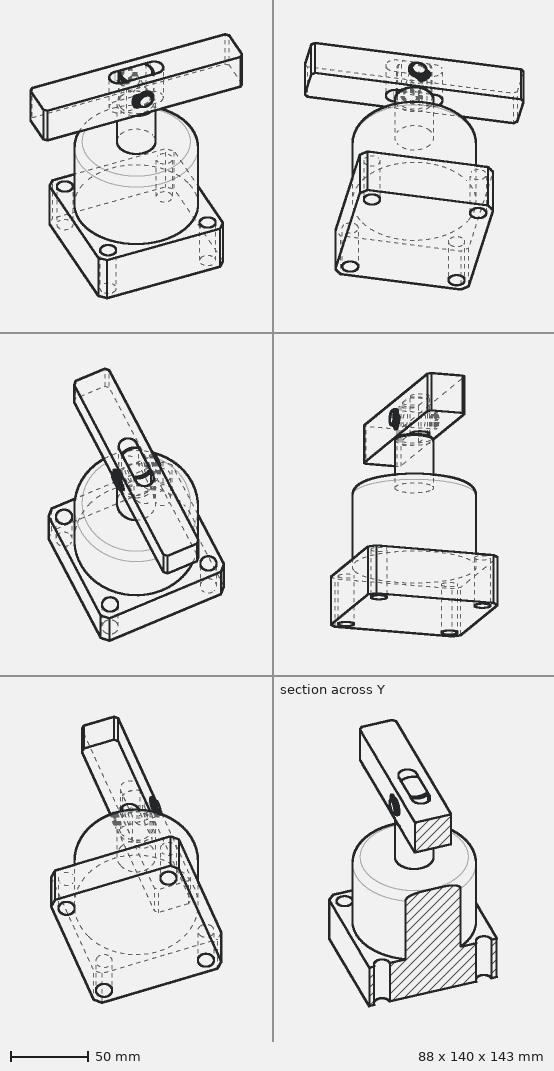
import cadquery as cq

flange_side = 88.0
flange_height = 32.0
flange_chamfer = 4.3
body_diameter = 80.0
body_top = 85.0
body_fillet = 5.0
bolt_hole_diameter = 10.5
bolt_hole_pitch = 70.0

lever_width = 25.0
lever_length = 140.0
lever_top = 143.0
lever_bottom = lever_top - lever_width
lever_chamfer = 2.1
slot_width = 12.0
slot_length = 37.0

rod_diameter = 25.0
rod_chamfer = 1.1
tongue_diameter = rod_diameter - 2 * rod_chamfer
tongue_chamfer = 1.0
tongue_top = lever_top

pin_diameter = 10.0
pin_length = 30.6
pin_chamfer = 0.5
pin_height = lever_bottom + lever_width / 2

ring_thickness = 1.0
ring_inner_diameter = 9.5
ring_outer_radius = 5.6
ring_eccentricity = 0.7
ring_gap = 1.6
ears_width = 9.2
ears_tip_radius = 8.0
ear_hole_reach = 5.5
ear_hole_spacing = 5.7
ear_hole_diameter = 1.5
near_gap_angle = 225
far_gap_angle = 180


def cross_cylinder(diameter, length):
    """Cylinder along X through the pivot, centred on the lever."""
    return (
        cq.Workplane("YZ", origin=(0, 0, pin_height))
        .circle(diameter / 2)
        .extrude(length / 2, both=True)
    )


def make_housing():
    flange = (
        cq.Workplane("XY")
        .rect(flange_side, flange_side)
        .extrude(flange_height)
        .edges("|Z")
        .chamfer(flange_chamfer)
    )
    body = (
        cq.Workplane("XY")
        .circle(body_diameter / 2)
        .extrude(body_top)
        .faces(">Z")
        .edges()
        .fillet(body_fillet)
    )
    bolt_holes = (
        cq.Workplane("XY")
        .rect(bolt_hole_pitch, bolt_hole_pitch, forConstruction=True)
        .vertices()
        .circle(bolt_hole_diameter / 2)
        .extrude(flange_height)
    )
    return flange.union(body).cut(bolt_holes)


def make_rod():
    shaft = (
        cq.Workplane("XY", origin=(0, 0, body_top))
        .circle(rod_diameter / 2)
        .extrude(lever_bottom - body_top)
        .faces(">Z")
        .edges()
        .chamfer(rod_chamfer)
    )
    tongue_height = tongue_top - lever_bottom
    slot_fit = (
        cq.Workplane("XY", origin=(0, 0, lever_bottom))
        .rect(slot_width, slot_length)
        .extrude(tongue_height)
    )
    tongue = (
        cq.Workplane("XY", origin=(0, 0, lever_bottom))
        .circle(tongue_diameter / 2)
        .extrude(tongue_height)
        .faces(">Z")
        .edges()
        .chamfer(tongue_chamfer)
        .intersect(slot_fit)
    )
    return shaft.union(tongue).cut(cross_cylinder(pin_diameter, lever_width))


def make_lever():
    slot = (
        cq.Workplane("XY", origin=(0, 0, lever_bottom))
        .slot2D(slot_length, slot_width, 90)
        .extrude(lever_width)
    )
    return (
        cq.Workplane("XY", origin=(0, 0, lever_bottom))
        .rect(lever_width, lever_length)
        .extrude(lever_width)
        .edges("|Z")
        .chamfer(lever_chamfer)
        .cut(slot)
        .cut(cross_cylinder(pin_diameter, lever_width))
    )


def make_pin():
    blank = cross_cylinder(pin_diameter, pin_length).edges().chamfer(pin_chamfer)
    groove_stock = cross_cylinder(pin_diameter, lever_width + 2 * ring_thickness)
    grooves = groove_stock.cut(cross_cylinder(pin_diameter, lever_width)).cut(
        cross_cylinder(ring_inner_diameter, pin_length)
    )
    return blank.cut(grooves)


def make_ring(start_x, gap_angle):
    """Retaining ring spanning one thickness from start_x towards +X."""
    plane = cq.Workplane("YZ")
    band = (
        plane.center(-ring_eccentricity, 0)
        .circle(ring_outer_radius)
        .extrude(ring_thickness)
    )
    ears_outline = (
        plane.center(ears_tip_radius / 2, 0)
        .rect(ears_tip_radius, ears_width)
        .extrude(ring_thickness)
    )
    ears = plane.circle(ears_tip_radius).extrude(ring_thickness).intersect(ears_outline)
    bore = plane.circle(ring_inner_diameter / 2).extrude(ring_thickness)
    gap = (
        plane.center(ears_tip_radius / 2, 0)
        .rect(ears_tip_radius, ring_gap)
        .extrude(ring_thickness)
    )
    ear_holes = (
        plane.pushPoints([(ear_hole_reach, side * ear_hole_spacing / 2) for side in (-1, 1)])
        .circle(ear_hole_diameter / 2)
        .extrude(ring_thickness)
    )
    ring = band.union(ears).cut(bore).cut(gap).cut(ear_holes)
    return ring.rotate((0, 0, 0), (1, 0, 0), gap_angle).translate((start_x, 0, pin_height))


housing = make_housing()
rod = make_rod()
lever = make_lever()
pin = make_pin()
rings = [
    make_ring(start_x, gap_angle)
    for start_x, gap_angle in (
        (-lever_width / 2 - ring_thickness, near_gap_angle),
        (lever_width / 2, far_gap_angle),
    )
]

result = cq.Compound.makeCompound(
    [housing.val(), rod.val(), lever.val(), pin.val(), *[ring.val() for ring in rings]]
)